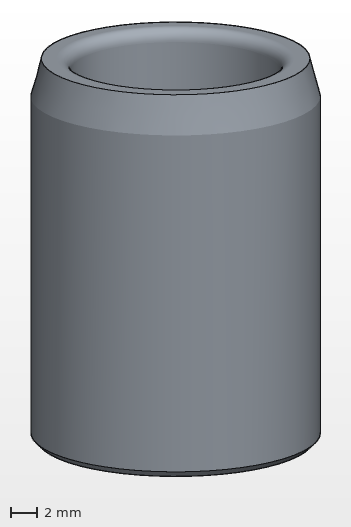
import cadquery as cq
import math

height = 30.0
outer_diameter = 22.0
bore_diameter = 16.0

taper_height = 3.0
taper_angle = 15.0

bore_mouth_radius = 1.0
bottom_chamfer = 0.5

outer_radius = outer_diameter / 2
bore_radius = bore_diameter / 2
taper_inset = taper_height * math.tan(math.radians(taper_angle))


def bushing_body():
    """Revolve the half section, with radius along X and the axis along Z."""
    return (
        cq.Workplane("XZ")
        .moveTo(bore_radius, 0)
        .lineTo(outer_radius - bottom_chamfer, 0)
        .lineTo(outer_radius, bottom_chamfer)
        .lineTo(outer_radius, height - taper_height)
        .lineTo(outer_radius - taper_inset, height)
        .lineTo(bore_radius, height)
        .close()
        .revolve(360, (0, 0, 0), (0, 1, 0))
    )


def round_bore_mouth(body):
    """Round the top edge of the bore, the smallest circle on the top face."""
    return body.faces(">Z").edges(cq.selectors.RadiusNthSelector(0)).fillet(bore_mouth_radius)


result = round_bore_mouth(bushing_body())